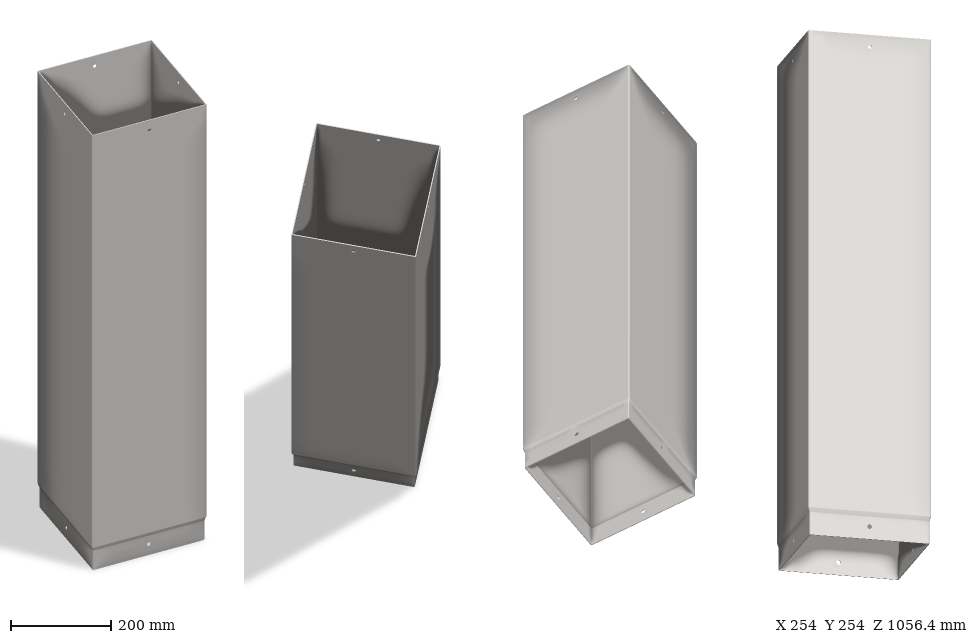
import cadquery as cq

body_width = 254.0
body_length = 1000.0
total_height = 1056.36
wall = 2.0
collar_width = 248.0
collar_height = 47.5
body_base = total_height - body_length

body_corner_radius = 3.0
collar_corner_radius = 2.5

bend_inside_radius = 1.0
bend_outside_radius = bend_inside_radius + wall

body_hole_diameter = 8.0
body_hole_drop = 25.0
collar_hole_diameter = 9.2
collar_hole_height = 26.0

level_tolerance = 0.01


def rounded_square(width, radius, level):
    """Square outline with rounded corners, lying at the given level."""
    outline = cq.Sketch().rect(width, width).vertices().fillet(radius)
    return outline.moved(cq.Location(cq.Vector(0, 0, level)))


def edges_at(level):
    """Selector for the ring of edges lying at the given level."""
    low = (-body_width, -body_width, level - level_tolerance)
    high = (body_width, body_width, level + level_tolerance)
    return cq.selectors.BoxSelector(low, high, boundingbox=True)


def stepped_bar(inset):
    """Collar, joggle and body as one filled bar, with every side moved in by the inset."""
    body_radius = body_corner_radius - inset
    collar_radius = collar_corner_radius - inset
    collar_bottom = rounded_square(collar_width - 2 * inset, collar_radius, 0)
    collar_top = rounded_square(collar_width - 2 * inset, collar_radius, collar_height)
    body_bottom = rounded_square(body_width - 2 * inset, body_radius, body_base)

    collar = cq.Workplane("XY").placeSketch(collar_bottom).extrude(collar_height)
    joggle = cq.Workplane("XY").placeSketch(collar_top, body_bottom).loft(ruled=True)
    body = cq.Workplane("XY").placeSketch(body_bottom).extrude(body_length)
    bar = collar.union(joggle).union(body)

    bar = bar.edges(edges_at(body_base)).fillet(bend_outside_radius - inset)
    return bar.edges(edges_at(collar_height)).fillet(bend_inside_radius + inset)


def cross_holes(diameter, level):
    """Crossed pins along X and Y that pierce the middle of all four walls at the given level."""
    pin_along_x, pin_along_y = [
        cq.Workplane(plane).center(0, level).circle(diameter / 2).extrude(body_width, both=True)
        for plane in ("YZ", "XZ")
    ]
    return pin_along_x.union(pin_along_y)


tube = stepped_bar(0).cut(stepped_bar(wall))
tube = tube.cut(cross_holes(body_hole_diameter, total_height - body_hole_drop))
tube = tube.cut(cross_holes(collar_hole_diameter, collar_hole_height))

result = tube